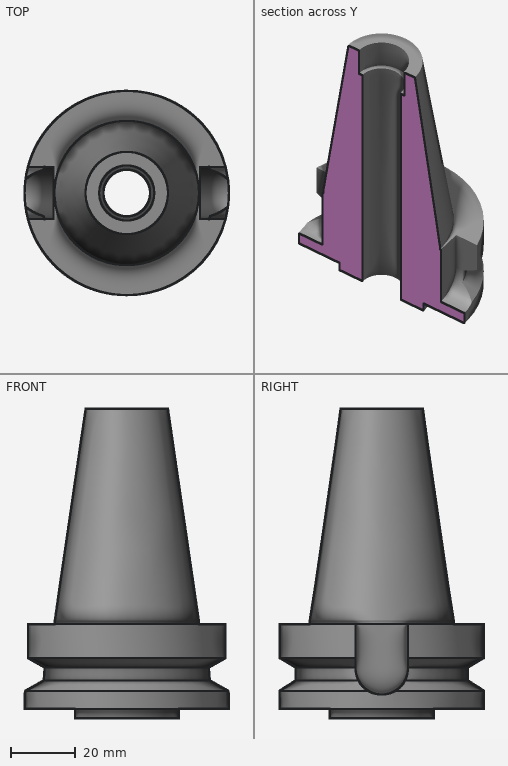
import cadquery as cq

total_height = 95.4
collar_height = 3.0
lower_rim_top = 8.5
groove_bottom = 11.6
groove_top = 15.7
upper_rim_bottom = 18.6
flange_top = 29.0
gauge_height = 30.0

collar_radius = 16.0
flange_radius = 31.5
groove_radius = 26.6
gauge_radius = 22.2
taper_ratio = 7 / 24
tip_radius = gauge_radius - (total_height - gauge_height) * taper_ratio / 2

bore_radius = 7.2
tip_bore_radius = 8.5
tip_bore_depth = 9.5

slot_width = 16.1
slot_floor = 22.5
slot_bottom = 7.3


def turned_body():
    """Collar, V-grooved flange and tapered shank as one revolved profile."""
    profile = [
        (0, 0),
        (collar_radius, 0),
        (collar_radius, collar_height),
        (flange_radius, collar_height),
        (flange_radius, lower_rim_top),
        (groove_radius, groove_bottom),
        (groove_radius, groove_top),
        (flange_radius, upper_rim_bottom),
        (flange_radius, flange_top),
        (gauge_radius, flange_top),
        (gauge_radius, gauge_height),
        (tip_radius, total_height),
        (0, total_height),
    ]
    return cq.Workplane("XZ").polyline(profile).close().revolve(360, (0, 0), (0, 1))


def stepped_bore():
    """Through bore with a wider counterbore at the tip."""
    bore = cq.Workplane("XY").circle(bore_radius).extrude(total_height)
    tip_bore = (
        cq.Workplane("XY", origin=(0, 0, total_height - tip_bore_depth))
        .circle(tip_bore_radius)
        .extrude(tip_bore_depth)
    )
    return bore.union(tip_bore)


def drive_slot(side):
    """Round-bottomed slot, open at the flange top; side is +1 or -1 along X."""
    half_width = slot_width / 2
    arc_center = slot_bottom + half_width
    return (
        cq.Workplane("YZ", origin=(side * slot_floor, 0, 0))
        .moveTo(-half_width, flange_top)
        .lineTo(-half_width, arc_center)
        .threePointArc((0, slot_bottom), (half_width, arc_center))
        .lineTo(half_width, flange_top)
        .close()
        .extrude(side * flange_radius)
    )


result = turned_body().cut(stepped_bore())
for side in (-1, 1):
    result = result.cut(drive_slot(side))